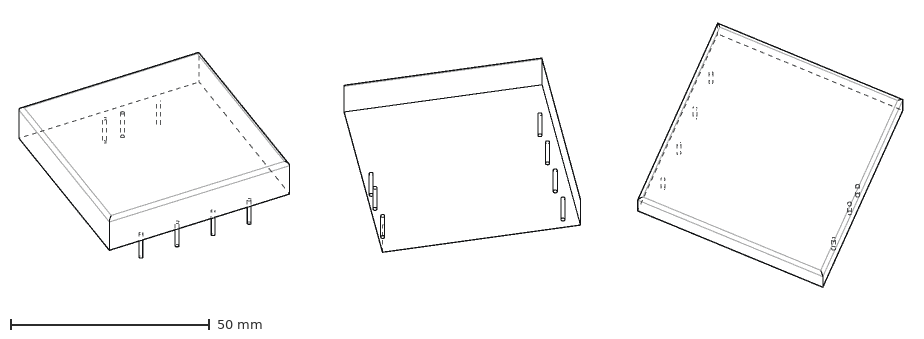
import cadquery as cq

body_side = 50.8
body_height = 10.15
rim_radius = 1.0

total_height = 17.7
pin_diameter = 1.0
pin_length = total_height - body_height
row_offset = 22.85

pin_pitch = 2.55
left_row_steps = [5, 1, -1]
right_row_steps = [6, 2, -2, -6]


def make_body():
    """Block standing on Z = 0 with its four top edges rounded."""
    block = cq.Workplane("XY").box(body_side, body_side, body_height, centered=(True, True, False))
    return block.faces(">Z").edges().fillet(rim_radius)


def make_pin_row(row_x, steps):
    """Round pins hanging from the underside of the body at one X position."""
    centres = [(row_x, step * pin_pitch) for step in steps]
    return cq.Workplane("XY").pushPoints(centres).circle(pin_diameter / 2).extrude(-pin_length)


result = (
    make_body()
    .union(make_pin_row(-row_offset, left_row_steps))
    .union(make_pin_row(row_offset, right_row_steps))
)